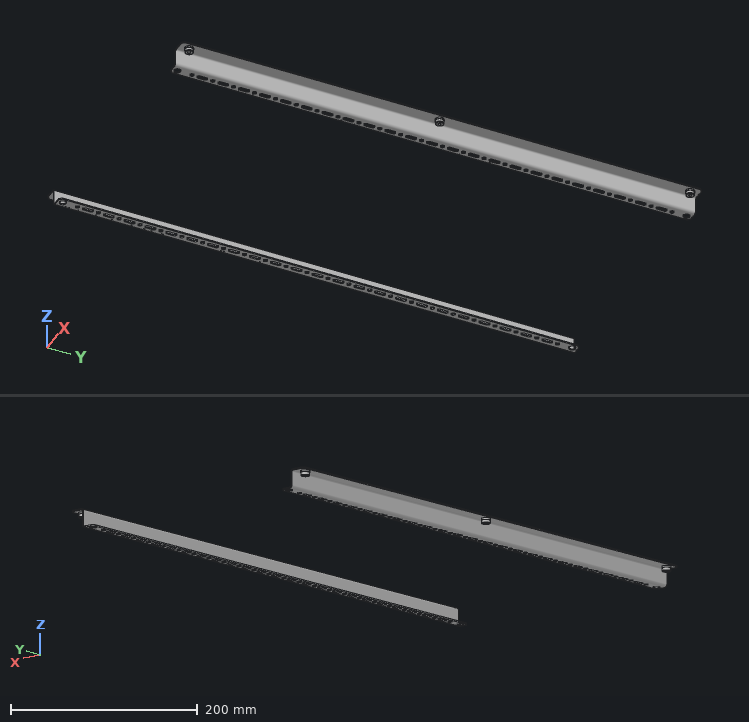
import cadquery as cq
assembly_width = 327.0
rail_length = 623.0
rail_height = 21.0

sheet_thickness = 1.5
bend_inner_radius = 2.0
bend_outer_radius = bend_inner_radius + sheet_thickness
rail_width = 32.0
upper_flange_width = 18.0
corner_chamfer = 3.0

hole_row_inset = 5.9
hole_row_length = 575.0
hole_count = 24
hole_pitch = hole_row_length / (hole_count - 1)
hole_diameter = 4.5
slot_length = 12.5
slot_width = hole_diameter
end_hole_diameter = 7.5
end_hole_span = 610.0

bush_inset = 7.5
bush_span = 600.0
bush_neck_diameter = 6.0
bush_collar_diameter = 10.0
bush_collar_height = 2.0
bush_body_diameter = 9.5
bush_body_height = 4.0
bush_end_chamfer = 0.5
bush_bore_diameter = 3.0

outer_x = -assembly_width / 2
inner_x = outer_x + rail_width
web_inner_x = outer_x + upper_flange_width
web_outer_x = web_inner_x - sheet_thickness
top_z = rail_height / 2
bottom_z = -top_z
upper_flange_underside = top_z - sheet_thickness
lower_flange_top = bottom_z + sheet_thickness
hole_row_x = inner_x - hole_row_inset
bush_x = outer_x + bush_inset
bush_rows = [-bush_span / 2, 0, bush_span / 2]


def make_blank():
    """Z-shaped sheet section with sharp bends, extruded along Y."""
    section = (
        cq.Workplane("XZ", origin=(0, rail_length / 2, 0))
        .moveTo(outer_x, top_z)
        .lineTo(web_inner_x, top_z)
        .lineTo(web_inner_x, lower_flange_top)
        .lineTo(inner_x, lower_flange_top)
        .lineTo(inner_x, bottom_z)
        .lineTo(web_outer_x, bottom_z)
        .lineTo(web_outer_x, upper_flange_underside)
        .lineTo(outer_x, upper_flange_underside)
        .close()
    )
    return section.extrude(rail_length)


def round_bend(blank, x, z, radius):
    """Round the lengthwise edge that runs through (x, z)."""
    bend_edge = blank.edges(cq.selectors.NearestToPointSelector((x, 0, z)))
    return bend_edge.fillet(radius)


def round_bends(blank):
    blank = round_bend(blank, web_inner_x, top_z, bend_outer_radius)
    blank = round_bend(blank, web_outer_x, upper_flange_underside, bend_inner_radius)
    blank = round_bend(blank, web_inner_x, lower_flange_top, bend_inner_radius)
    return round_bend(blank, web_outer_x, bottom_z, bend_outer_radius)


def chamfer_flange_corners(blank):
    return blank.edges("|Z").edges("<X or >X").chamfer(corner_chamfer)


def cut_lower_flange(rail):
    """Cut the row of holes, the slots midway between them and the larger end holes."""
    row_start = -hole_row_length / 2
    hole_places = [(0, row_start + i * hole_pitch) for i in range(hole_count)]
    slot_places = [(0, y + hole_pitch / 2) for _, y in hole_places[:-1]]
    end_places = [(0, -end_hole_span / 2), (0, end_hole_span / 2)]

    row = cq.Workplane("XY", origin=(hole_row_x, 0, bottom_z))
    holes = row.pushPoints(hole_places).circle(hole_diameter / 2).extrude(sheet_thickness)
    slots = row.pushPoints(slot_places).slot2D(slot_length, slot_width, 90).extrude(sheet_thickness)
    end_holes = row.pushPoints(end_places).circle(end_hole_diameter / 2).extrude(sheet_thickness)
    return rail.cut(holes).cut(slots).cut(end_holes)


def cut_bush_seats(rail):
    """Cut the openings in the upper flange that take the necks of the bushes."""
    seats = (
        cq.Workplane("XY", origin=(0, 0, top_z))
        .pushPoints([(bush_x, y) for y in bush_rows])
        .circle(bush_neck_diameter / 2)
        .extrude(-sheet_thickness)
    )
    return rail.cut(seats)


def make_left_rail():
    rail = chamfer_flange_corners(round_bends(make_blank()))
    return cut_bush_seats(cut_lower_flange(rail))


def disc_below(x, y, z, diameter, height):
    """Upright cylinder that hangs down from height z."""
    return cq.Workplane("XY", origin=(x, y, z)).circle(diameter / 2).extrude(-height)


def make_bush(x, y):
    """Neck flush with the flange top, collar and body below the flange, bored right through."""
    collar_underside = upper_flange_underside - bush_collar_height
    bush_height = sheet_thickness + bush_collar_height + bush_body_height
    neck = disc_below(x, y, top_z, bush_neck_diameter, sheet_thickness)
    collar = disc_below(x, y, upper_flange_underside, bush_collar_diameter, bush_collar_height)
    body = disc_below(x, y, collar_underside, bush_body_diameter, bush_body_height)
    body = body.faces("<Z").chamfer(bush_end_chamfer)
    bore = disc_below(x, y, top_z, bush_bore_diameter, bush_height)
    return neck.union(collar).union(body).cut(bore)


left_rail = make_left_rail()
right_rail = left_rail.mirror("YZ")

bushes = []
for bush_y in bush_rows:
    bushes.append(make_bush(bush_x, bush_y))
    bushes.append(make_bush(-bush_x, bush_y))

result = cq.Compound.makeCompound(
    [left_rail.val(), right_rail.val(), *[bush.val() for bush in bushes]]
)